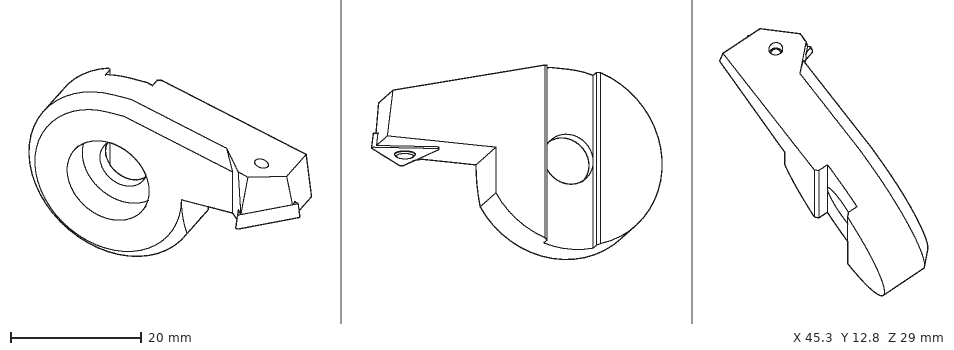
import cadquery as cq
import math


disc_radius = 14.5
body_depth = 9.5
rim_chamfer = 2.0
bore_radius = 4.0
counterbore_radius = 7.0
counterbore_depth = 5.35
relief_angle = 7.0
relief_slope = math.tan(math.radians(relief_angle))

top_flat_length = 3.0
arm_slope = 15.0
arm_reach = 30.12
side_cut_x = disc_radius - rim_chamfer

slot_width = 8.0
slot_depth = 2.1
slot_chamfer = 0.5

insert_inscribed_radius = 3.175
insert_nose_radius = 0.4
insert_thickness = 2.38
insert_center_x = 25.02
insert_center_y = -7.02
insert_proud = 0.3
insert_nose_angles = (15.0, 135.0, 255.0)
nose_half_arc = 60.0
pocket_wall_angle = 4.0
insert_face_z = -insert_proud
seat_z = insert_face_z + insert_thickness

screw_pull = 0.15
screw_radius = 1.05
screw_tip_chamfer = 0.25
screw_tip_z = 5.5
screw_head_radius = 1.6
screw_head_chamfer = 0.25
screw_head_proud = 0.35
screw_head_sink = 1.2
screw_x = insert_center_x - screw_pull / math.sqrt(2)
screw_y = insert_center_y + screw_pull / math.sqrt(2)

nose_rear_x = 11.75
insert_edge_distance = insert_inscribed_radius - insert_thickness * relief_slope
nose_front_x = insert_center_x - insert_center_y + insert_edge_distance * math.sqrt(2)
nose_tip_y = -(nose_front_x - nose_rear_x) / 2
nose_tip_x = (nose_front_x + nose_rear_x) / 2

margin = 10.0


def extrude_back_to_front(outline, depth):
    """Extrude an XZ outline from the back face (Y = 0) toward -Y."""
    return cq.Workplane("XZ").polyline(outline).close().extrude(depth)


def make_disc():
    """Disc with a chamfered front rim and a flat cut on its lower +X side."""
    profile = [
        (0, 0),
        (disc_radius, 0),
        (disc_radius, rim_chamfer - body_depth),
        (disc_radius - rim_chamfer, -body_depth),
        (0, -body_depth),
    ]
    disc = cq.Workplane("XY").polyline(profile).close().revolve(360, (0, 0), (0, 1))
    side_cut = cq.Workplane("XY").box(
        margin, 2 * body_depth, disc_radius, centered=(False, True, False)
    ).translate((side_cut_x, 0, -disc_radius))
    return disc.cut(side_cut)


def arm_outline(shrink):
    """Arm outline with its flat and sloped top edges moved inward by `shrink`."""
    slope = math.tan(math.radians(arm_slope))
    top_z = disc_radius - shrink
    bend_x = top_flat_length - shrink * math.tan(math.radians(arm_slope / 2))
    end_z = (top_z - (arm_reach - bend_x) * slope) / (1 - relief_slope * slope)
    end_x = arm_reach - end_z * relief_slope
    return [(0, 0), (0, top_z), (bend_x, top_z), (end_x, end_z), (arm_reach, 0)]


def make_arm():
    """Straight rear part of the arm, with a bevelled layer in front of it."""
    rear = extrude_back_to_front(arm_outline(0), body_depth - rim_chamfer)
    bevel_outer = cq.Wire.makePolygon(
        [cq.Vector(x, rim_chamfer - body_depth, z) for x, z in arm_outline(0)], close=True)
    bevel_inner = cq.Wire.makePolygon(
        [cq.Vector(x, -body_depth, z) for x, z in arm_outline(rim_chamfer)], close=True)
    bevel = cq.Workplane(obj=cq.Solid.makeLoft([bevel_outer, bevel_inner], True))
    return rear.union(bevel)


def make_nose():
    """Wedge that carries the insert in front of the arm."""
    nose_plan = [(nose_rear_x, 0), (nose_tip_x, nose_tip_y), (nose_front_x, 0)]
    wedge = cq.Workplane("XY").polyline(nose_plan).close().extrude(disc_radius)
    nose = wedge.intersect(extrude_back_to_front(arm_outline(0), -nose_tip_y))
    relief_rise = disc_radius - seat_z
    relief = [
        (nose_tip_y, seat_z),
        (nose_tip_y + relief_rise * relief_slope, disc_radius),
        (nose_tip_y, disc_radius),
    ]
    relief_cut = cq.Workplane("YZ").polyline(relief).close().extrude(arm_reach)
    return nose.cut(relief_cut)


def make_front_side_cut():
    """Corner of the arm that lies beyond the nose's 45 degree front side."""
    plan = [
        (nose_front_x, 0),
        (nose_tip_x, nose_tip_y),
        (nose_front_x, nose_tip_y),
    ]
    return cq.Workplane("XY").polyline(plan).close().extrude(disc_radius)


def make_back_slot():
    half = slot_width / 2
    profile = [
        (-half - slot_chamfer, 0),
        (-half, -slot_chamfer),
        (-half, -slot_depth),
        (half, -slot_depth),
        (half, -slot_chamfer),
        (half + slot_chamfer, 0),
    ]
    slot = cq.Workplane("XY").polyline(profile).close()
    return slot.extrude(disc_radius + margin, both=True)


def insert_outline():
    """Triangle with rounded noses on the plane of the insert's cutting face."""
    nose_distance = 2 * (insert_inscribed_radius - insert_nose_radius)

    def nose_point(nose_angle, arc_angle):
        nose = math.radians(nose_angle)
        arc = math.radians(arc_angle)
        x = insert_center_x + nose_distance * math.cos(nose) + insert_nose_radius * math.cos(arc)
        y = insert_center_y + nose_distance * math.sin(nose) + insert_nose_radius * math.sin(arc)
        return x, y

    first, *others = insert_nose_angles
    outline = cq.Workplane("XY", origin=(0, 0, insert_face_z))
    outline = outline.moveTo(*nose_point(first, first - nose_half_arc))
    outline = outline.threePointArc(nose_point(first, first), nose_point(first, first + nose_half_arc))
    for angle in others:
        outline = outline.lineTo(*nose_point(angle, angle - nose_half_arc))
        outline = outline.threePointArc(nose_point(angle, angle), nose_point(angle, angle + nose_half_arc))
    return outline.close()


def make_screw():
    head_length = screw_head_proud + screw_head_sink
    head_z = insert_face_z - screw_head_proud
    head = (
        cq.Workplane("XY", origin=(screw_x, screw_y, head_z))
        .circle(screw_head_radius)
        .extrude(head_length)
        .faces("<Z").chamfer(screw_head_chamfer)
    )
    shank = (
        cq.Workplane("XY", origin=(screw_x, screw_y, head_z))
        .circle(screw_radius)
        .extrude(screw_tip_z - head_z)
        .faces(">Z").chamfer(screw_tip_chamfer)
    )
    return head.union(shank)


def make_insert(screw):
    insert = insert_outline().extrude(insert_thickness, taper=relief_angle)
    return insert.cut(screw)


def make_holder():
    holder = make_disc().union(make_arm()).union(make_nose())
    holder = holder.cut(make_front_side_cut()).cut(make_back_slot())
    bore = cq.Workplane("XZ").circle(bore_radius).extrude(body_depth)
    counterbore = (
        cq.Workplane("XZ", origin=(0, counterbore_depth - body_depth, 0))
        .circle(counterbore_radius)
        .extrude(counterbore_depth)
    )
    insert_pocket = insert_outline().extrude(insert_thickness, taper=pocket_wall_angle)
    screw_hole = (
        cq.Workplane("XY", origin=(screw_x, screw_y, 0))
        .circle(screw_radius)
        .extrude(disc_radius)
    )
    return holder.cut(bore).cut(counterbore).cut(insert_pocket).cut(screw_hole)


screw = make_screw()
insert = make_insert(screw)
holder = make_holder()

result = cq.Compound.makeCompound([holder.val(), insert.val(), screw.val()])